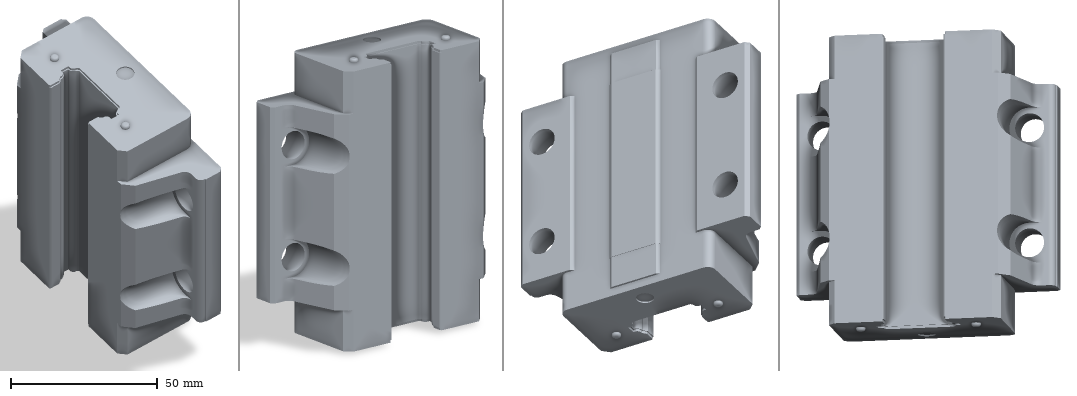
import cadquery as cq
import math


WIDTH = 90.0
HEIGHT = 32.0
BLOCK_LENGTH = 70.0
CAP_LENGTH = 15.0
BODY_LENGTH = BLOCK_LENGTH + 2 * CAP_LENGTH

FLANGE_UNDERSIDE = 22.0
FLANGE_TOP_CHAMFER = 1.4
FLANGE_LOWER_CHAMFER = 1.2
FLANGE_LOWER_RADIUS = 2.15
EDGE_STEP_DEPTH = 0.35
EDGE_STEP_Y = 24.4
FLANK_ANGLE = math.radians(15)
FLANK_LOWER_X = 32.9
FLANK_LOWER_Y = 3.5
FOOT_HALF_WIDTH = 29.3
FLANK_FILLET = 3.0
EDGE_SEARCH = 0.1

GROOVE_INNER_X = 8.7
GROOVE_OUTER_X = 25.0
GROOVE_DEPTH = 1.0
GROOVE_SLOPE_RUN = 1.3

CAP_WIDTH = 59.6
CAP_HEIGHT = 31.0
CAP_TOP_RADIUS = 3.0
CAP_FOOT_CHAMFER = 2.5
PAD_HEIGHT = 0.8
PAD_END_MARGIN = 3.0

BALL_AXIS_Y = 9.0
CHANNEL_ROOF = 12.7
ROOF_CHAMFER = 0.7
WAIST_HALF_WIDTH = 11.65
SHOULDER_RISE = 2.9
POCKET_HALF_WIDTH = 13.9
POCKET_RISE = 1.25
SHOULDER_END_X = 13.2
SHOULDER_BULGE = 0.15
WAIST_LOWER_Y = 5.4
NECK_HALF_WIDTH = 10.4
NECK_UPPER_Y = 4.1
MOUTH_CHAMFER = 0.4
LIP_OFFSET = 0.4
LIP_DEPTH = 0.9

HOLE_DIAMETER = 10.0
SEAT_DIAMETER = 14.0
HOLE_X = 36.0
HOLE_Z = 20.0

SCREW_X = 20.0
SCREW_DIAMETER = 3.2
SCREW_HEIGHT = 1.25
SCREW_ROUNDING = 0.9
PORT_DIAMETER = 6.2
PORT_Y = 24.1
PORT_DEPTH = 0.5


def centered_extrusion(section, length):
    """Extrude an XY section by length, centred on Z = 0."""
    return section.extrude(length / 2, both=True)


def make_block():
    """Flanged block with tapered flanks, a grooved mounting face and a stepped +X edge."""
    half_width = WIDTH / 2
    step_x = half_width - EDGE_STEP_DEPTH
    flank_upper_x = FLANK_LOWER_X + (FLANGE_UNDERSIDE - FLANK_LOWER_Y) * math.tan(FLANK_ANGLE)
    section = (
        cq.Workplane("XY")
        .moveTo(-FOOT_HALF_WIDTH, 0)
        .lineTo(FOOT_HALF_WIDTH, 0)
        .lineTo(FLANK_LOWER_X, FLANK_LOWER_Y)
        .lineTo(flank_upper_x, FLANGE_UNDERSIDE)
        .lineTo(step_x, FLANGE_UNDERSIDE)
        .lineTo(step_x, EDGE_STEP_Y)
        .lineTo(half_width, EDGE_STEP_Y)
        .lineTo(half_width, HEIGHT)
        .lineTo(-half_width, HEIGHT)
        .lineTo(-half_width, FLANGE_UNDERSIDE)
        .lineTo(-flank_upper_x, FLANGE_UNDERSIDE)
        .lineTo(-FLANK_LOWER_X, FLANK_LOWER_Y)
        .close()
    )
    block = centered_extrusion(section, BLOCK_LENGTH)

    def edge_at(x, y):
        """Select the long edge passing through (x, y)."""
        return cq.selectors.BoxSelector(
            (x - EDGE_SEARCH, y - EDGE_SEARCH, -EDGE_SEARCH),
            (x + EDGE_SEARCH, y + EDGE_SEARCH, EDGE_SEARCH),
        )

    for side in (-1, 1):
        block = block.edges(edge_at(side * flank_upper_x, FLANGE_UNDERSIDE)).fillet(FLANK_FILLET)
        block = block.edges(edge_at(side * half_width, HEIGHT)).chamfer(FLANGE_TOP_CHAMFER)
    block = block.edges(edge_at(-half_width, FLANGE_UNDERSIDE)).chamfer(FLANGE_LOWER_CHAMFER)
    block = block.edges(edge_at(step_x, FLANGE_UNDERSIDE)).fillet(FLANGE_LOWER_RADIUS)

    for side in (-1, 1):
        groove = (
            cq.Workplane("XY")
            .moveTo(side * GROOVE_INNER_X, HEIGHT)
            .lineTo(side * (GROOVE_INNER_X + GROOVE_SLOPE_RUN), HEIGHT - GROOVE_DEPTH)
            .lineTo(side * (GROOVE_OUTER_X - GROOVE_SLOPE_RUN), HEIGHT - GROOVE_DEPTH)
            .lineTo(side * GROOVE_OUTER_X, HEIGHT)
            .close()
        )
        block = block.cut(centered_extrusion(groove, BLOCK_LENGTH))
    return block


def cut_mounting_holes(block):
    """Drill the flange holes and mill their bolt-head seats up to the flange underside."""
    for x in (-HOLE_X, HOLE_X):
        for z in (-HOLE_Z, HOLE_Z):
            hole = cq.Workplane("XZ", origin=(x, 0, z)).circle(HOLE_DIAMETER / 2).extrude(-HEIGHT)
            seat = cq.Workplane("XZ", origin=(x, 0, z)).circle(SEAT_DIAMETER / 2).extrude(-FLANGE_UNDERSIDE)
            run_out = (
                cq.Workplane("XZ", origin=(x + math.copysign(SEAT_DIAMETER / 2, x), 0, z))
                .rect(SEAT_DIAMETER, SEAT_DIAMETER)
                .extrude(-FLANGE_UNDERSIDE)
            )
            block = block.cut(hole).cut(seat).cut(run_out)
    return block


def make_end_caps():
    """Both end caps with their raised pads, separated by the length of the block."""
    cap_section = cq.Workplane("XY").center(0, CAP_HEIGHT / 2).rect(CAP_WIDTH, CAP_HEIGHT)
    bar = centered_extrusion(cap_section, BODY_LENGTH)
    bar = bar.edges("|Z and >Y").fillet(CAP_TOP_RADIUS)
    bar = bar.edges("|Z and <Y").chamfer(CAP_FOOT_CHAMFER)
    gap = cq.Workplane("XY").box(WIDTH, 2 * HEIGHT, BLOCK_LENGTH)
    pad_top_x = GROOVE_INNER_X
    pad_foot_x = pad_top_x + GROOVE_SLOPE_RUN * PAD_HEIGHT / GROOVE_DEPTH
    pad_section = (
        cq.Workplane("XY")
        .moveTo(-pad_foot_x, CAP_HEIGHT)
        .lineTo(pad_foot_x, CAP_HEIGHT)
        .lineTo(pad_top_x, CAP_HEIGHT + PAD_HEIGHT)
        .lineTo(-pad_top_x, CAP_HEIGHT + PAD_HEIGHT)
        .close()
    )
    pad = centered_extrusion(pad_section, BODY_LENGTH - 2 * PAD_END_MARGIN)
    return bar.union(pad).cut(gap)


def channel_section(growth=0.0):
    """Closed section of the rail channel, its roof and side walls moved outward by growth."""
    roof = CHANNEL_ROOF + growth
    neck = NECK_HALF_WIDTH + growth
    waist = WAIST_HALF_WIDTH + growth
    pocket = POCKET_HALF_WIDTH + growth
    pocket_rise = POCKET_RISE + growth
    bulge_x = (waist + SHOULDER_END_X) / 2 - SHOULDER_BULGE
    bulge_rise = (SHOULDER_RISE + pocket_rise) / 2 - SHOULDER_BULGE
    return (
        cq.Workplane("XY")
        .moveTo(0, 0)
        .lineTo(neck + MOUTH_CHAMFER, 0)
        .lineTo(neck, MOUTH_CHAMFER)
        .lineTo(neck, NECK_UPPER_Y)
        .lineTo(waist, WAIST_LOWER_Y)
        .lineTo(waist, BALL_AXIS_Y - SHOULDER_RISE)
        .threePointArc((bulge_x, BALL_AXIS_Y - bulge_rise), (SHOULDER_END_X, BALL_AXIS_Y - pocket_rise))
        .lineTo(pocket, BALL_AXIS_Y - pocket_rise)
        .lineTo(pocket, BALL_AXIS_Y + pocket_rise)
        .lineTo(SHOULDER_END_X, BALL_AXIS_Y + pocket_rise)
        .threePointArc((bulge_x, BALL_AXIS_Y + bulge_rise), (waist, BALL_AXIS_Y + SHOULDER_RISE))
        .lineTo(waist, roof - ROOF_CHAMFER)
        .lineTo(waist - ROOF_CHAMFER, roof)
        .lineTo(0, roof)
        .mirrorY()
    )


def cut_rail_channel(body):
    """Cut the channel through the body and widen it into a shallow lip at each end."""
    body = body.cut(centered_extrusion(channel_section(), BODY_LENGTH))
    lips = centered_extrusion(channel_section(LIP_OFFSET), BODY_LENGTH)
    middle = cq.Workplane("XY").box(WIDTH, 2 * HEIGHT, BODY_LENGTH - 2 * LIP_DEPTH)
    return body.cut(lips.cut(middle))


def add_end_details(body):
    """Add two round screw heads and a shallow port to each end face."""
    screw = (
        cq.Workplane("XY", origin=(0, 0, BODY_LENGTH / 2))
        .pushPoints([(-SCREW_X, BALL_AXIS_Y), (SCREW_X, BALL_AXIS_Y)])
        .circle(SCREW_DIAMETER / 2)
        .extrude(SCREW_HEIGHT)
        .faces(">Z")
        .edges()
        .fillet(SCREW_ROUNDING)
    )
    port = (
        cq.Workplane("XY", origin=(0, PORT_Y, BODY_LENGTH / 2))
        .circle(PORT_DIAMETER / 2)
        .extrude(-PORT_DEPTH)
    )
    body = body.union(screw).union(screw.mirror("XY"))
    return body.cut(port).cut(port.mirror("XY"))


block = cut_mounting_holes(make_block())
body = cut_rail_channel(block.union(make_end_caps()))
result = add_end_details(body)